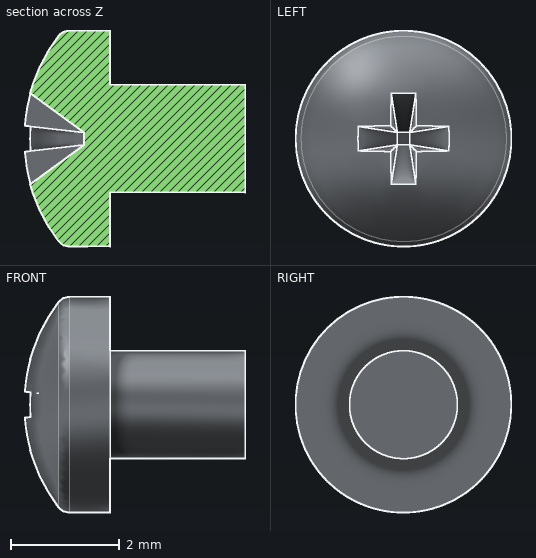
import cadquery as cq

head_diameter = 4.0
head_height = 1.6
dome_radius = 3.14
rim_fillet = 0.25
shank_diameter = head_diameter / 2
shank_length = shank_diameter * 5 / 4

recess_depth = 1.115
recess_mouth_length = 1.855
recess_mouth_width = 0.48
recess_floor_width = 0.23


def make_head():
    """Cylinder rounded off by a large sphere, with a fillet where they meet."""
    cylinder = cq.Workplane("YZ").circle(head_diameter / 2).extrude(head_height)
    sphere = cq.Workplane("XY").sphere(dome_radius).translate((dome_radius, 0, 0))
    return cylinder.intersect(sphere).edges("%CIRCLE and (not >X)").fillet(rim_fillet)


def make_shank():
    return (
        cq.Workplane("YZ", origin=(head_height, 0, 0))
        .circle(shank_diameter / 2)
        .extrude(shank_length)
    )


def make_recess_slot(angle):
    """Slot that tapers on all four sides to the square floor, turned about X."""
    return (
        cq.Workplane("YZ")
        .rect(recess_mouth_length, recess_mouth_width)
        .workplane(offset=recess_depth)
        .rect(recess_floor_width, recess_floor_width)
        .loft(ruled=True)
        .rotate((0, 0, 0), (1, 0, 0), angle)
    )


result = make_head().union(make_shank())
for slot_angle in (0, 90):
    result = result.cut(make_recess_slot(slot_angle))